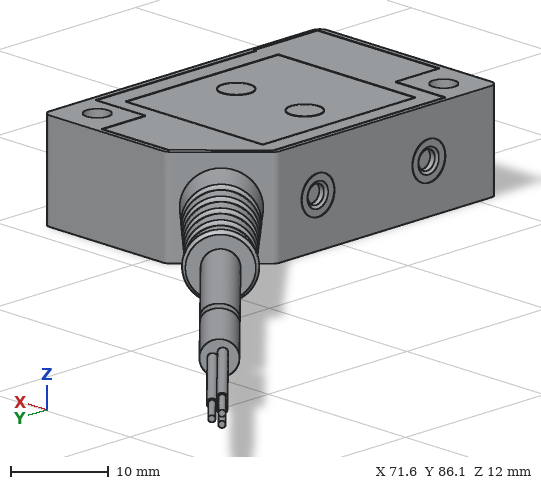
import cadquery as cq
import math

WIDTH = 26.0
LENGTH = 40.0
HEIGHT = 12.0
CORNER_CUT = 8.0
CORNER_RADIUS = 1.0
TOP = HEIGHT / 2
MID_X = WIDTH / 2
MID_Y = LENGTH / 2

SCREW_HOLE_DIAMETER = 3.0
SCREW_HOLE_INSET = 3.95

SURFACE_STEP = 0.1
COVER_INSET = 0.7
COVER_EDGE_INSET = 0.35
COVER_EDGE_LENGTH = 9.9
PAD_WIDTH = 7.9
PAD_LENGTH = 7.0
LABEL_WIDTH = 19.95
LABEL_LENGTH = 22.0
WINDOW_DIAMETER = 3.95
WINDOW_SPACING = 10.0

INSERT_POSITIONS_Y = (10.0, 26.0)
INSERT_DIAMETER = 4.7
THREAD_DIAMETER = 2.3
THREAD_MOUTH_DIAMETER = 3.0
THREAD_MOUTH_DEPTH = 0.3
THREAD_DEPTH = 1.0

LENS_DIAMETER = 5.0
LENS_HEIGHT = 0.3

CABLE_ANGLE = 135
CABLE_DIAMETER = 4.1
CABLE_BREAK = 37.0
BREAK_GAP = 1.55
BREAK_RISE = 0.8
BREAK_SKEW = 0.7
JACKET_END = 49.4

SLEEVE_LENGTH = 19.8
SLEEVE_BASE_RADIUS = 4.3
SLEEVE_TIP_RADIUS = 3.6
GROOVE_COUNT = 4
GROOVE_START = 4.8
GROOVE_PITCH = 3.5
GROOVE_WIDTH = 1.6
GROOVE_DEPTH = 0.3
LIP_WIDTH = 1.0
LIP_HEIGHT = 0.35

WIRE_COUNT = 3
WIRE_SPACING = 1.2
INSULATION_DIAMETER = 1.1
INSULATION_END = 64.3
CORE_DIAMETER = 0.8
CORE_END = 69.4
WIRE_ROOT = 0.9


def make_case():
    outline = [
        (0, 0),
        (WIDTH, 0),
        (WIDTH, LENGTH),
        (CORNER_CUT, LENGTH),
        (0, LENGTH - CORNER_CUT),
    ]
    case = cq.Workplane("XY").workplane(offset=-TOP).polyline(outline).close().extrude(HEIGHT)
    return case.edges("|Z").fillet(CORNER_RADIUS)


def make_cover_recess():
    """Shallow area of the top face, stepping around a pad at each mounting hole."""
    left = COVER_INSET
    right = WIDTH - COVER_INSET
    front = COVER_INSET
    back = LENGTH - COVER_INSET
    cut = CORNER_CUT - COVER_INSET * (2 - math.sqrt(2))
    edge = WIDTH - COVER_EDGE_INSET
    outline = [
        (PAD_WIDTH, front),
        (edge, front),
        (edge, COVER_EDGE_LENGTH),
        (right, COVER_EDGE_LENGTH),
        (right, LENGTH - PAD_LENGTH),
        (WIDTH - PAD_WIDTH, LENGTH - PAD_LENGTH),
        (WIDTH - PAD_WIDTH, back),
        (left + cut, back),
        (left, back - cut),
        (left, PAD_LENGTH),
        (PAD_WIDTH, PAD_LENGTH),
    ]
    recess = cq.Workplane("XY").workplane(offset=TOP - SURFACE_STEP)
    return recess.polyline(outline).close().extrude(SURFACE_STEP)


def make_label_recess():
    """Label area, one step below the cover, with the two round windows left standing."""
    label = cq.Workplane("XY").workplane(offset=TOP - 2 * SURFACE_STEP).center(MID_X, MID_Y)
    windows = label.rarray(WINDOW_SPACING, 0.9, 2, 1).circle(WINDOW_DIAMETER / 2).extrude(SURFACE_STEP)
    return label.rect(LABEL_WIDTH, LABEL_LENGTH).extrude(SURFACE_STEP).cut(windows)


def make_screw_holes():
    positions = [
        (SCREW_HOLE_INSET, SCREW_HOLE_INSET),
        (WIDTH - SCREW_HOLE_INSET, LENGTH - SCREW_HOLE_INSET),
    ]
    holes = cq.Workplane("XY").workplane(offset=-TOP).pushPoints(positions)
    return holes.circle(SCREW_HOLE_DIAMETER / 2).extrude(HEIGHT)


def make_insert_hole(y):
    """Threaded hole with a countersunk mouth in a shallow round seat."""
    seat_radius = INSERT_DIAMETER / 2
    mouth_radius = THREAD_MOUTH_DIAMETER / 2
    thread_radius = THREAD_DIAMETER / 2
    profile = [
        (0, 0),
        (0, seat_radius),
        (SURFACE_STEP, seat_radius),
        (SURFACE_STEP, mouth_radius),
        (SURFACE_STEP + THREAD_MOUTH_DEPTH, thread_radius),
        (THREAD_DEPTH, thread_radius),
        (THREAD_DEPTH, 0),
    ]
    hole = cq.Workplane("XY").polyline(profile).close().revolve(360, (0, 0, 0), (1, 0, 0))
    return hole.translate((0, y, 0))


def make_lens():
    """Spherical cap standing on the -Y side."""
    radius = LENS_DIAMETER / 2
    sphere_radius = (radius**2 + LENS_HEIGHT**2) / (2 * LENS_HEIGHT)
    cap = (
        cq.Workplane("XY")
        .lineTo(radius, 0)
        .radiusArc((0, -LENS_HEIGHT), sphere_radius)
        .close()
        .revolve(360, (0, 0, 0), (0, 1, 0))
    )
    return cap.translate((MID_X, 0, 0))


def place_on_cut_corner(shape):
    """Move a shape built along +X so that it points out of the cut corner."""
    turned = shape.rotate((0, 0, 0), (0, 0, 1), CABLE_ANGLE)
    return turned.translate((CORNER_CUT / 2, LENGTH - CORNER_CUT / 2, 0))


def rod(start, end, diameter, y=0.0, z=0.0):
    """Round rod along +X."""
    return cq.Workplane("YZ").workplane(offset=start).center(y, z).circle(diameter / 2).extrude(end - start)


def sleeve_radius(distance):
    """Outer radius of the tapered sleeve at a distance from the housing."""
    return SLEEVE_BASE_RADIUS - (SLEEVE_BASE_RADIUS - SLEEVE_TIP_RADIUS) * distance / SLEEVE_LENGTH


def make_sleeve():
    """Tapered sleeve with rounded grooves and a rounded lip at its tip."""
    profile = cq.Workplane("XY").lineTo(0, SLEEVE_BASE_RADIUS)
    for i in range(GROOVE_COUNT):
        start = GROOVE_START + i * GROOVE_PITCH
        middle = start + GROOVE_WIDTH / 2
        end = start + GROOVE_WIDTH
        profile = profile.lineTo(start, sleeve_radius(start)).threePointArc(
            (middle, sleeve_radius(middle) - GROOVE_DEPTH),
            (end, sleeve_radius(end)),
        )
    lip_start = SLEEVE_LENGTH - LIP_WIDTH
    lip_middle = SLEEVE_LENGTH - LIP_WIDTH / 2
    profile = profile.lineTo(lip_start, sleeve_radius(lip_start)).threePointArc(
        (lip_middle, sleeve_radius(lip_middle) + LIP_HEIGHT),
        (SLEEVE_LENGTH, SLEEVE_TIP_RADIUS),
    )
    return profile.lineTo(SLEEVE_LENGTH, 0).close().revolve(360, (0, 0, 0), (1, 0, 0))


def make_break_cutter(near, far):
    """Block from a curved, slightly skewed break line at `near` to a flat end at `far`."""
    radius = CABLE_DIAMETER / 2
    return (
        cq.Workplane("XY")
        .workplane(offset=-radius)
        .moveTo(near, radius)
        .threePointArc((near + BREAK_RISE, 0), (near - BREAK_SKEW, -radius))
        .lineTo(far, -radius)
        .lineTo(far, radius)
        .close()
        .extrude(CABLE_DIAMETER)
    )


def make_housing_with_cable():
    housing = make_case()
    housing = housing.cut(make_cover_recess()).cut(make_label_recess()).cut(make_screw_holes())
    for y in INSERT_POSITIONS_Y:
        housing = housing.cut(make_insert_hole(y))
    housing = housing.union(make_lens())
    cable = rod(0, JACKET_END, CABLE_DIAMETER).cut(make_break_cutter(CABLE_BREAK, JACKET_END))
    return housing.union(place_on_cut_corner(make_sleeve().union(cable)))


def make_cable_end():
    """Loose end of the cable beyond the break, with its three stripped wires."""
    cable_end = rod(0, JACKET_END, CABLE_DIAMETER)
    cable_end = cable_end.intersect(make_break_cutter(CABLE_BREAK + BREAK_GAP, JACKET_END))
    circle_radius = WIRE_SPACING / math.sqrt(3)
    for i in range(WIRE_COUNT):
        angle = 2 * math.pi * i / WIRE_COUNT + math.pi
        y = circle_radius * math.cos(angle)
        z = circle_radius * math.sin(angle)
        cable_end = cable_end.union(rod(JACKET_END - WIRE_ROOT, INSULATION_END, INSULATION_DIAMETER, y, z))
        cable_end = cable_end.union(rod(INSULATION_END - WIRE_ROOT, CORE_END, CORE_DIAMETER, y, z))
    return place_on_cut_corner(cable_end)


housing_with_cable = make_housing_with_cable()
cable_end = make_cable_end()
result = cq.Compound.makeCompound([housing_with_cable.val(), cable_end.val()])